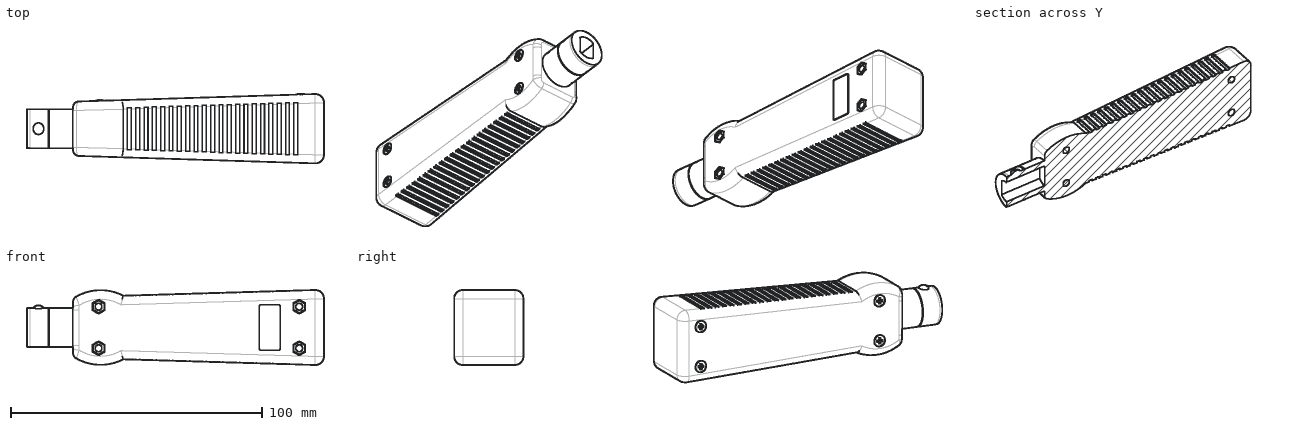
import cadquery as cq
import math

LENGTH = 118.3

HANDLE_START = 18.3
GRIP_TAPER = 1.7
SIDE_TAPER = 1.8
BUTT_HALF_Z = 30.2 / 2
BUTT_HALF_Y = 27.9 / 2
BULGE_X = 29.3
BULGE_HALF_Z = 14.9
BULGE_RADIUS = 19.5
EDGE_RADIUS = 3.5
NOSE_RADIUS = 2.5

GROOVE_COUNT = 21
GROOVE_PITCH = 3.3
GROOVE_WIDTH = 1.5
GROOVE_DEPTH = 0.6
FIRST_GROOVE_X = 40.8
GROOVE_OVERLAP = 0.4

LABEL_X = 96.7
LABEL_LENGTH = 8.4
LABEL_HEIGHT = 18.1
LABEL_CORNER = 0.7
LABEL_DEPTH = 0.4

TUBE_RADIUS = 7.8
MOUTH_LENGTH = 1.2
MOUTH_STEP = 0.06
RING_X = 8.6
RING_WIDTH = 0.4
RING_DEPTH = 0.1
SOCKET_DIAMETER = 9.7
SOCKET_WIDTH = 6.9
SOCKET_DEPTH = HANDLE_START
BUMP_X = 4.6
BUMP_RADIUS = 2.6
BUMP_HEIGHT = 1.1

SCREW_XS = (28.5, 108.4)
SCREW_Z = 8.3
SHAFT_DIAMETER = 2.7
NUT_ACROSS_FLATS = 4.4
POCKET_ACROSS_FLATS = 4.9
NUT_THICKNESS = 2.4
NUT_RECESS = 0.2
HEAD_DIAMETER = 4.7
HEAD_DEPTH = 1.8
HEAD_RISE = 0.7
HEAD_PROUD = 0.4
CROSS_WIDTH = 0.7
CROSS_LENGTH = 2.4
CROSS_DEPTH = 1.0

GRIP_ANGLE = math.radians(GRIP_TAPER)
SIDE_ANGLE = math.radians(SIDE_TAPER)


def half_width(x):
    """Half the handle's size in Y at a given X."""
    return BUTT_HALF_Y - math.tan(SIDE_ANGLE) * (LENGTH - x)


def half_height(x):
    """Half the handle's size in Z at a given X, along the straight taper."""
    return BUTT_HALF_Z - math.tan(GRIP_ANGLE) * (LENGTH - x)


def bulge_height(x):
    """Half the handle's size in Z at a given X, along the finger bulge."""
    return BULGE_HALF_Z - BULGE_RADIUS + math.sqrt(BULGE_RADIUS ** 2 - (x - BULGE_X) ** 2)


def bulge_end():
    """X where the bulge's arc runs into the straight taper, behind the bulge's top."""
    centre_z = BULGE_HALF_Z - BULGE_RADIUS
    gap = (half_height(BULGE_X) - centre_z) * math.cos(GRIP_ANGLE)
    half_chord = math.sqrt(BULGE_RADIUS ** 2 - gap ** 2)
    return BULGE_X - gap * math.sin(GRIP_ANGLE) + half_chord * math.cos(GRIP_ANGLE)


def make_handle():
    end_x = bulge_end()
    side = (
        cq.Workplane("XZ")
        .moveTo(HANDLE_START, -bulge_height(HANDLE_START))
        .lineTo(HANDLE_START, bulge_height(HANDLE_START))
        .threePointArc((BULGE_X, BULGE_HALF_Z), (end_x, half_height(end_x)))
        .lineTo(LENGTH, BUTT_HALF_Z)
        .lineTo(LENGTH, -BUTT_HALF_Z)
        .lineTo(end_x, -half_height(end_x))
        .threePointArc((BULGE_X, -BULGE_HALF_Z), (HANDLE_START, -bulge_height(HANDLE_START)))
        .close()
        .extrude(2 * BUTT_HALF_Y, both=True)
    )
    plan = (
        cq.Workplane("XY")
        .polyline([
            (HANDLE_START, -half_width(HANDLE_START)),
            (LENGTH, -BUTT_HALF_Y),
            (LENGTH, BUTT_HALF_Y),
            (HANDLE_START, half_width(HANDLE_START)),
        ])
        .close()
        .extrude(2 * BUTT_HALF_Z, both=True)
    )
    block = side.intersect(plan)
    long_edges = block.faces("<Y or >Y").edges().edges("not(<X or >X)")
    rounded = block.newObject(long_edges.vals()).fillet(EDGE_RADIUS)
    rounded = rounded.faces(">X").edges().fillet(EDGE_RADIUS)
    return rounded.faces("<X").edges().fillet(NOSE_RADIUS)


def make_grooves(side):
    """Cutters for the grooves of one grip face: side is 1 for the upper face, -1 for the lower."""
    cutters = []
    for index in range(GROOVE_COUNT):
        x = FIRST_GROOVE_X + index * GROOVE_PITCH
        width = 2 * (half_width(x) - EDGE_RADIUS + GROOVE_OVERLAP)
        floor = half_height(x) - GROOVE_DEPTH
        cutter = (
            cq.Workplane("XY", origin=(x, 0, side * floor))
            .transformed(rotate=(0, -side * GRIP_TAPER, 0))
            .rect(GROOVE_WIDTH, width)
            .extrude(side * 2 * GROOVE_DEPTH)
        )
        cutters.append(cutter)
    return cutters


def front_plane(x, z, depth=0.0):
    """Plane lying in the front face, or depth below it, with its normal pointing outwards."""
    inwards = cq.Vector(math.sin(SIDE_ANGLE), math.cos(SIDE_ANGLE), 0)
    origin = cq.Vector(x, -half_width(x), z) + inwards * depth
    along = cq.Vector(math.cos(SIDE_ANGLE), -math.sin(SIDE_ANGLE), 0)
    return cq.Plane(origin=origin, xDir=along, normal=-inwards)


def make_label_recess():
    floor = front_plane(LABEL_X, 0, LABEL_DEPTH)
    return (
        cq.Workplane(floor)
        .rect(LABEL_LENGTH, LABEL_HEIGHT)
        .extrude(2 * LABEL_DEPTH)
        .edges(cq.selectors.ParallelDirSelector(floor.zDir))
        .fillet(LABEL_CORNER)
    )


def make_tube():
    mouth_radius = TUBE_RADIUS - MOUTH_STEP
    ring_floor = TUBE_RADIUS - RING_DEPTH
    root = HANDLE_START + NOSE_RADIUS
    tube = (
        cq.Workplane("XY")
        .polyline([
            (0, 0),
            (0, mouth_radius),
            (MOUTH_LENGTH, TUBE_RADIUS),
            (RING_X - RING_WIDTH / 2, TUBE_RADIUS),
            (RING_X, ring_floor),
            (RING_X + RING_WIDTH / 2, TUBE_RADIUS),
            (root, TUBE_RADIUS),
            (root, 0),
        ])
        .close()
        .revolve(360, (0, 0, 0), (1, 0, 0))
    )
    bump = cq.Workplane("XY").sphere(BUMP_RADIUS).translate(
        (BUMP_X, 0, TUBE_RADIUS + BUMP_HEIGHT - BUMP_RADIUS)
    )
    return tube.union(bump)


def make_socket():
    """Double-D cutter: a round bar with two flats facing along Y."""
    bar = cq.Workplane("YZ").circle(SOCKET_DIAMETER / 2).extrude(SOCKET_DEPTH)
    flats = cq.Workplane("YZ").rect(SOCKET_WIDTH, SOCKET_DIAMETER).extrude(SOCKET_DEPTH)
    return bar.intersect(flats)


def through_length(x):
    """Distance from the front face to the back face along a screw that starts at X."""
    return 2 * half_width(x) * math.cos(SIDE_ANGLE) / math.cos(2 * SIDE_ANGLE)


def hexagon(x, z, depth, across_flats):
    """Hexagon outline below the front face, with corners pointing up and down."""
    across_corners = across_flats / math.cos(math.pi / 6)
    return (
        cq.Workplane(front_plane(x, z, depth))
        .transformed(rotate=(0, 0, 90))
        .polygon(6, across_corners)
    )


def make_nut(x, z):
    return (
        hexagon(x, z, NUT_RECESS, NUT_ACROSS_FLATS)
        .circle(SHAFT_DIAMETER / 2)
        .extrude(-NUT_THICKNESS)
    )


def make_screw_blank(x, z):
    """Screw without its cross recess: a shaft from the nut and a domed head at the back face."""
    dome_top = through_length(x) + HEAD_PROUD
    rim = dome_top - HEAD_RISE
    head_base = through_length(x) - HEAD_DEPTH
    shaft_radius = SHAFT_DIAMETER / 2
    head_radius = HEAD_DIAMETER / 2
    dome_radius = (head_radius ** 2 + HEAD_RISE ** 2) / (2 * HEAD_RISE)
    dome_middle = head_radius / 2
    dome_drop = dome_radius - math.sqrt(dome_radius ** 2 - dome_middle ** 2)
    return (
        cq.Workplane(front_plane(x, z))
        .transformed(rotate=(-90, 0, 0))
        .moveTo(0, NUT_RECESS)
        .lineTo(shaft_radius, NUT_RECESS)
        .lineTo(shaft_radius, head_base)
        .lineTo(head_radius, head_base)
        .lineTo(head_radius, rim)
        .threePointArc((dome_middle, dome_top - dome_drop), (0, dome_top))
        .close()
        .revolve(360, (0, 0, 0), (0, 1, 0))
    )


def make_screw(x, z):
    recess_floor = through_length(x) + HEAD_PROUD - CROSS_DEPTH
    screw = make_screw_blank(x, z)
    for length, width in ((CROSS_LENGTH, CROSS_WIDTH), (CROSS_WIDTH, CROSS_LENGTH)):
        slot = (
            cq.Workplane(front_plane(x, z, recess_floor))
            .rect(length, width)
            .extrude(-2 * CROSS_DEPTH)
        )
        screw = screw.cut(slot)
    return screw


def make_fastener_hole(x, z):
    """Cutter for one screw and its nut, with the nut pocket and head pocket open to the outside."""
    length = through_length(x)
    shaft = cq.Workplane(front_plane(x, z)).circle(SHAFT_DIAMETER / 2).extrude(-length)
    nut_pocket = (
        hexagon(x, z, NUT_RECESS + NUT_THICKNESS, POCKET_ACROSS_FLATS)
        .extrude(2 * NUT_THICKNESS)
    )
    head_pocket = (
        cq.Workplane(front_plane(x, z, length - HEAD_DEPTH))
        .circle(HEAD_DIAMETER / 2)
        .extrude(-2 * HEAD_DEPTH)
    )
    return shaft.union(nut_pocket).union(head_pocket)


screw_places = [(x, z) for x in SCREW_XS for z in (SCREW_Z, -SCREW_Z)]

handle = make_handle().union(make_tube()).cut(make_socket()).cut(make_label_recess())
for side in (1, -1):
    for groove in make_grooves(side):
        handle = handle.cut(groove)
for x, z in screw_places:
    handle = handle.cut(make_fastener_hole(x, z))

screws = [make_screw(x, z).val() for x, z in screw_places]
nuts = [make_nut(x, z).val() for x, z in screw_places]

result = cq.Compound.makeCompound([handle.val(), *screws, *nuts])